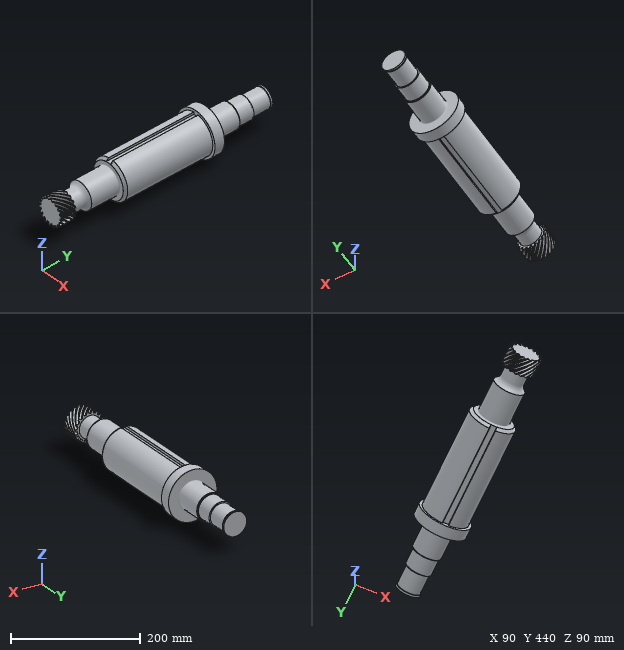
import cadquery as cq
import math

FLANGE_DIAMETER = 90.0
BODY_DIAMETER = 79.6
REAR_SEAT_DIAMETER = 50.0
REAR_STUB_DIAMETER = 44.79
REAR_RELIEF_DIAMETER = 40.0
REAR_COLLAR_DIAMETER = 43.0
FRONT_SEAT_DIAMETER = 53.62
NECK_DIAMETER = 39.76

GEAR_LENGTH = 30.0
NECK_LENGTH = 32.3
FRONT_SEAT_LENGTH = 57.7
BODY_LENGTH = 180.0
FLANGE_LENGTH = 20.0
REAR_SEAT_LENGTH = 50.0
REAR_STUB_LENGTH = 30.0
REAR_RELIEF_LENGTH = 36.0
REAR_COLLAR_LENGTH = 4.0

BODY_CHAMFER_LENGTH = 5.0
BODY_NOSE_DIAMETER = 70.0
SEAT_CHAMFER = 1.0
SHOULDER_FILLET = 1.0
NECK_FILLET_RADIUS = 12.0
NECK_TAPER_ANGLE = 45.0

KEYWAY_WIDTH = 10.0
KEYWAY_DEPTH = 5.0

TOOTH_COUNT = 18
GEAR_TIP_DIAMETER = 55.0
GEAR_ROOT_DIAMETER = 46.5
GEAR_PITCH_DIAMETER = 51.0
HELIX_ANGLE = 45.0
ROOT_GAP_SHARE = 0.28
TIP_GAP_SHARE = 0.75
FIRST_GAP_ANGLE = -97.5

NECK_START = GEAR_LENGTH
FRONT_SEAT_START = NECK_START + NECK_LENGTH
BODY_START = FRONT_SEAT_START + FRONT_SEAT_LENGTH
FLANGE_START = BODY_START + BODY_LENGTH
REAR_SEAT_START = FLANGE_START + FLANGE_LENGTH
REAR_STUB_START = REAR_SEAT_START + REAR_SEAT_LENGTH
REAR_RELIEF_START = REAR_STUB_START + REAR_STUB_LENGTH
REAR_COLLAR_START = REAR_RELIEF_START + REAR_RELIEF_LENGTH
REAR_END = REAR_COLLAR_START + REAR_COLLAR_LENGTH


def make_shaft():
    """Turned shaft without the gear: half profile (radius, Y) revolved about Y."""
    neck = NECK_DIAMETER / 2
    front_seat = FRONT_SEAT_DIAMETER / 2
    body = BODY_DIAMETER / 2
    body_nose = BODY_NOSE_DIAMETER / 2
    flange = FLANGE_DIAMETER / 2
    rear_seat = REAR_SEAT_DIAMETER / 2
    stub = REAR_STUB_DIAMETER / 2
    relief = REAR_RELIEF_DIAMETER / 2
    collar = REAR_COLLAR_DIAMETER / 2

    taper = math.radians(NECK_TAPER_ANGLE)
    fillet_top = neck + NECK_FILLET_RADIUS * (1 - math.cos(taper))
    taper_start = FRONT_SEAT_START - (front_seat - fillet_top) / math.tan(taper)
    fillet_start = taper_start - NECK_FILLET_RADIUS * math.sin(taper)

    return (
        cq.Workplane("XY")
        .moveTo(0, NECK_START)
        .lineTo(neck, NECK_START)
        .lineTo(neck, fillet_start)
        .radiusArc((fillet_top, taper_start), NECK_FILLET_RADIUS)
        .lineTo(front_seat, FRONT_SEAT_START)
        .lineTo(front_seat, BODY_START - SHOULDER_FILLET)
        .radiusArc((front_seat + SHOULDER_FILLET, BODY_START), SHOULDER_FILLET)
        .lineTo(body_nose, BODY_START)
        .lineTo(body, BODY_START + BODY_CHAMFER_LENGTH)
        .lineTo(body, FLANGE_START)
        .lineTo(flange, FLANGE_START)
        .lineTo(flange, REAR_SEAT_START)
        .lineTo(rear_seat + SHOULDER_FILLET, REAR_SEAT_START)
        .radiusArc((rear_seat, REAR_SEAT_START + SHOULDER_FILLET), SHOULDER_FILLET)
        .lineTo(rear_seat, REAR_STUB_START - SEAT_CHAMFER)
        .lineTo(rear_seat - SEAT_CHAMFER, REAR_STUB_START)
        .lineTo(stub, REAR_STUB_START)
        .lineTo(stub, REAR_RELIEF_START)
        .lineTo(relief, REAR_RELIEF_START)
        .lineTo(relief, REAR_COLLAR_START)
        .lineTo(collar, REAR_COLLAR_START)
        .lineTo(collar, REAR_END)
        .lineTo(0, REAR_END)
        .close()
        .revolve(360, (0, 0, 0), (0, 1, 0))
    )


def cut_keyways(shaft):
    """Two opposite keyways along the whole body, on the +Z and -Z sides."""
    middle = BODY_START + BODY_LENGTH / 2
    for side in (1, -1):
        keyway = cq.Workplane("XY").box(KEYWAY_WIDTH, BODY_LENGTH, 2 * KEYWAY_DEPTH)
        shaft = shaft.cut(keyway.translate((0, middle, side * BODY_DIAMETER / 2)))
    return shaft


def make_gear():
    """Helical gear: toothed outline extruded along +Y with a clockwise twist seen from -Y."""
    tip = GEAR_TIP_DIAMETER / 2
    root = GEAR_ROOT_DIAMETER / 2
    pitch = 360 / TOOTH_COUNT
    half_root_gap = pitch * ROOT_GAP_SHARE / 2
    half_tip_gap = pitch * TIP_GAP_SHARE / 2

    def polar(radius, degrees):
        angle = math.radians(degrees)
        return (radius * math.cos(angle), radius * math.sin(angle))

    end_face = cq.Plane(origin=(0, 0, 0), xDir=(1, 0, 0), normal=(0, 1, 0))
    outline = cq.Workplane(end_face).moveTo(*polar(tip, FIRST_GAP_ANGLE - half_tip_gap))
    for index in range(TOOTH_COUNT):
        gap = FIRST_GAP_ANGLE + index * pitch
        next_gap = gap + pitch
        outline = (
            outline.lineTo(*polar(root, gap - half_root_gap))
            .threePointArc(polar(root, gap), polar(root, gap + half_root_gap))
            .lineTo(*polar(tip, gap + half_tip_gap))
            .threePointArc(polar(tip, gap + pitch / 2), polar(tip, next_gap - half_tip_gap))
        )
    twist_run = GEAR_LENGTH * math.tan(math.radians(HELIX_ANGLE))
    twist = math.degrees(twist_run / (GEAR_PITCH_DIAMETER / 2))
    return outline.close().twistExtrude(GEAR_LENGTH, twist)


result = cut_keyways(make_shaft()).union(make_gear())